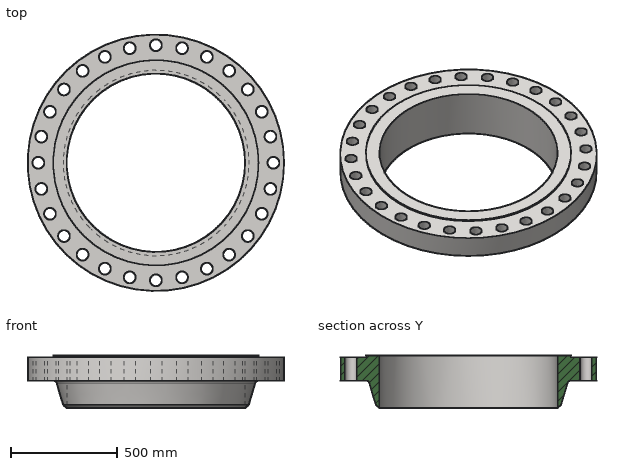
import cadquery as cq

flange_diameter = 1206.0
flange_radius = flange_diameter / 2
flange_thickness = 112.0

face_radius = 483.0
face_height = 7.0

total_height = 247.0
bore_radius = 419.0
neck_top_radius = 470.0
neck_bottom_radius = 437.0
weld_edge_radius = 420.0
weld_bevel_height = 15.0
neck_fillet_radius = 15.0

bolt_count = 28
bolt_circle_radius = 553.0
bolt_hole_diameter = 54.0

plate_top = total_height - face_height
plate_bottom = plate_top - flange_thickness


def flange_body():
    """Revolve the half section, bore included, about the Z axis."""
    section = (
        cq.Workplane("XZ")
        .moveTo(bore_radius, 0)
        .lineTo(weld_edge_radius, 0)
        .lineTo(neck_bottom_radius, weld_bevel_height)
        .lineTo(neck_top_radius, plate_bottom)
        .lineTo(flange_radius, plate_bottom)
        .lineTo(flange_radius, plate_top)
        .lineTo(face_radius, plate_top)
        .lineTo(face_radius, total_height)
        .lineTo(bore_radius, total_height)
        .close()
    )
    body = section.revolve(360, (0, 0, 0), (0, 1, 0))
    underside = body.faces("|Z").faces("<Z[-2]")
    neck_root = underside.edges(cq.selectors.RadiusNthSelector(0))
    return neck_root.fillet(neck_fillet_radius)


def bolt_holes():
    """Ring of cylinders through the plate, the first one on the +X axis."""
    return (
        cq.Workplane("XY")
        .polarArray(bolt_circle_radius, 0, 360, bolt_count)
        .circle(bolt_hole_diameter / 2)
        .extrude(total_height)
    )


result = flange_body().cut(bolt_holes())